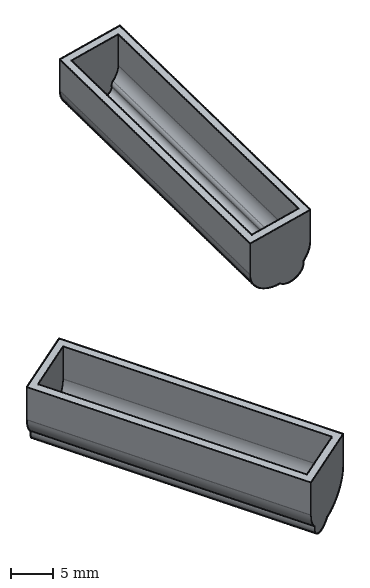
import cadquery as cq
import math

length = 37.4
width = 9.0
height = 10.7
wall = 1.0
side_height = 5.5
bead_radius = 2.02
bead_offset = 1.5

bottom_radius = width / 2
bottom_center = (0, -side_height)
bead_center = (bead_offset, bead_radius - height)


def circle_crossings():
    """Points (Y, Z) where the bead meets the round bottom: -Y side, then +Y side."""
    step_y = bead_center[0] - bottom_center[0]
    step_z = bead_center[1] - bottom_center[1]
    distance = math.hypot(step_y, step_z)
    unit_y = step_y / distance
    unit_z = step_z / distance
    along = (distance**2 + bottom_radius**2 - bead_radius**2) / (2 * distance)
    across = math.sqrt(bottom_radius**2 - along**2)
    middle_y = bottom_center[0] + along * unit_y
    middle_z = bottom_center[1] + along * unit_z
    return [
        (middle_y + side * across * unit_z, middle_z - side * across * unit_y)
        for side in (1, -1)
    ]


def mid_arc(center, radius, start, end):
    """Middle point of an arc shorter than a half turn."""
    chord_y = (start[0] + end[0]) / 2 - center[0]
    chord_z = (start[1] + end[1]) / 2 - center[1]
    scale = radius / math.hypot(chord_y, chord_z)
    return (center[0] + chord_y * scale, center[1] + chord_z * scale)


def trough_outline(start_x, top_z):
    """Closed cross-section in the YZ plane, with its flat top at top_z."""
    low_joint, high_joint = circle_crossings()
    half = width / 2
    right_tangent = (-half, -side_height)
    left_tangent = (half, -side_height)
    bead_bottom = (bead_center[0], -height)
    return (
        cq.Workplane("YZ", origin=(start_x, 0, 0))
        .moveTo(-half, top_z)
        .lineTo(*right_tangent)
        .threePointArc(mid_arc(bottom_center, bottom_radius, right_tangent, low_joint), low_joint)
        .threePointArc(bead_bottom, high_joint)
        .threePointArc(mid_arc(bottom_center, bottom_radius, high_joint, left_tangent), left_tangent)
        .lineTo(half, top_z)
        .close()
    )


body = trough_outline(-length / 2, 0).extrude(length)

cavity = (
    trough_outline(-length / 2 + wall, wall)
    .offset2D(-wall, "arc")
    .extrude(length - 2 * wall)
)

result = body.cut(cavity)